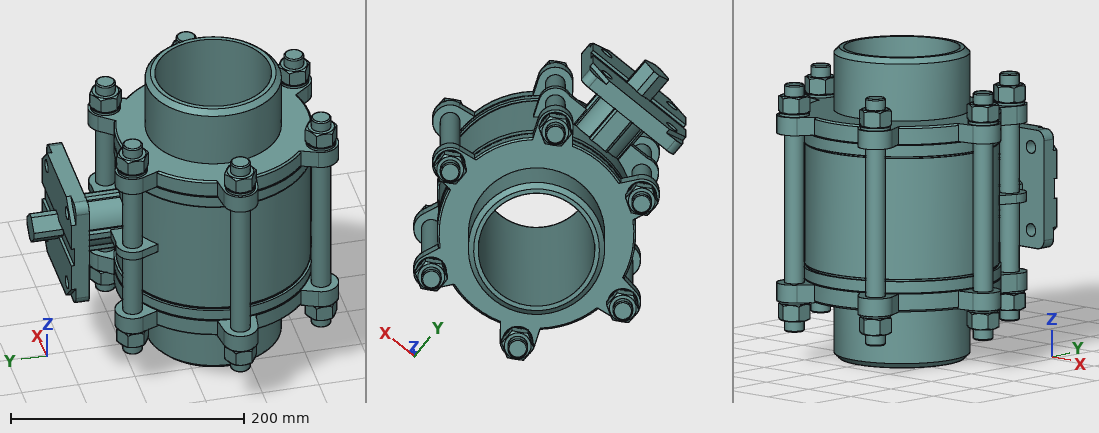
import cadquery as cq
import math

TOTAL_HEIGHT = 270.0
PIPE_DIA = 117.0
BORE_DIA = 100.0
PIPE_END_CHAMFER = 4.5

BODY_DIA = 167.0
FLANGE_DIA = 170.0
FLANGE_TOP_Z = 80.7
FLANGE_THICKNESS = 15.7
FLANGE_CHAMFER = 1.5
RING_BOTTOM_Z = 54.3
GROOVE_WIDTH = 1.5
RING_JOINT_WIDTH = 0.8
GROOVE_DEPTH = 0.8

STUD_COUNT = 6
BOLT_CIRCLE_RADIUS = 96.0
LUG_DIA = 30.2
WEB_LUG_DIA = 29.0
LUG_FLARE_DEG = 8.0
LUG_ROOT_RADIUS = 70.2
STUD_DIA = 17.0
STUD_TIP_Z = 107.5
STUD_CHAMFER = 1.0
WASHER_DIA = 26.0
WASHER_THICKNESS = 2.2
NUT_ACROSS_FLATS = 24.3
NUT_TOP_Z = 97.7
NUT_FACE_DIA = 23.0
NUT_CHAMFER_ANGLE_DEG = 30.0

WEB_THICKNESS = 7.8
WEB_EDGE_Y = 97.0

PLATE_SIZE = 103.1
PLATE_INNER_Y = 122.3
PLATE_OUTER_Y = 138.2
PLATE_CORNER_RADIUS = 8.0
CORNER_CUT_LENGTH = 18.0
CORNER_CUT_DEPTH = 4.0
SLOT_WIDTH = 17.3
SLOT_DEPTH = 2.7
MOUNT_HOLE_DIA = 11.0
MOUNT_HOLE_SPACING = 72.4
NECK_DIA = 45.5
NECK_EMBED = 10.8
RIB_WIDTH = 9.7
RIB_RADIUS = 26.0
RIB_CHAMFER = 2.2
LOWER_RIB_WIDTH = 19.5
LOWER_RIB_RADIUS = 27.5
STEM_END_Y = 161.5
STEM_ACROSS_FLATS = 22.5
STEM_TRIMMED_WIDTH = 25.6

NECK_ROOT_Y = BODY_DIA / 2 - NECK_EMBED
stud_angles = [360 / STUD_COUNT * i for i in range(STUD_COUNT)]
web_angles = stud_angles[1:3]


def disc(diameter, z_low, z_high):
    return cq.Workplane("XY").workplane(offset=z_low).circle(diameter / 2).extrude(z_high - z_low)


def along_y(y_start):
    """Sketch plane facing +Y at y_start; local x runs along -X, local y along Z."""
    return cq.Workplane("XZ", origin=(0, y_start, 0)).transformed(rotate=(0, 180, 0))


def at_stud(shape, angle):
    """Move a shape from the Z axis to a bolt position without turning it."""
    turn = math.radians(angle)
    return shape.translate((BOLT_CIRCLE_RADIUS * math.cos(turn), BOLT_CIRCLE_RADIUS * math.sin(turn), 0))


def make_lug(angle, diameter, z_low, thickness):
    """Lug with a round tip whose flanks flare out towards the valve axis."""
    flare = math.radians(LUG_FLARE_DEG)
    tip_radius = diameter / 2
    tangent_x = BOLT_CIRCLE_RADIUS + tip_radius * math.sin(flare)
    tangent_y = tip_radius * math.cos(flare)
    root_y = tangent_y + (tangent_x - LUG_ROOT_RADIUS) * math.tan(flare)
    return (
        cq.Workplane("XY")
        .workplane(offset=z_low)
        .moveTo(LUG_ROOT_RADIUS, -root_y)
        .lineTo(tangent_x, -tangent_y)
        .threePointArc((BOLT_CIRCLE_RADIUS + tip_radius, 0), (tangent_x, tangent_y))
        .lineTo(LUG_ROOT_RADIUS, root_y)
        .close()
        .extrude(thickness)
        .rotate((0, 0, 0), (0, 0, 1), angle)
    )


def make_upper_flange():
    """Lugged flange over a seating ring, with a narrow joint groove between them."""
    bottom_z = FLANGE_TOP_Z - FLANGE_THICKNESS
    flange = disc(FLANGE_DIA, bottom_z, FLANGE_TOP_Z).faces(">Z").edges().chamfer(FLANGE_CHAMFER)
    ring_top = bottom_z - RING_JOINT_WIDTH
    flange = flange.union(disc(FLANGE_DIA, RING_BOTTOM_Z, ring_top))
    flange = flange.union(disc(FLANGE_DIA - 2 * GROOVE_DEPTH, RING_BOTTOM_Z, bottom_z))
    for angle in stud_angles:
        flange = flange.union(make_lug(angle, LUG_DIA, bottom_z, FLANGE_THICKNESS))
    return flange


def make_upper_nut():
    """Washer and hexagon nut, flats facing +X and -X, with conically chamfered corners."""
    washer_top = FLANGE_TOP_Z + WASHER_THICKNESS
    height = NUT_TOP_Z - washer_top
    corner_radius = NUT_ACROSS_FLATS / 2 / math.cos(math.radians(30))
    face_radius = NUT_FACE_DIA / 2
    drop = (corner_radius - face_radius) * math.tan(math.radians(NUT_CHAMFER_ANGLE_DEG))
    hexagon = (
        cq.Workplane("XY")
        .workplane(offset=washer_top)
        .polygon(6, 2 * corner_radius)
        .extrude(height)
        .rotate((0, 0, 0), (0, 0, 1), 30)
    )
    envelope = (
        cq.Workplane("XZ")
        .moveTo(0, washer_top)
        .lineTo(face_radius, washer_top)
        .lineTo(corner_radius, washer_top + drop)
        .lineTo(corner_radius, NUT_TOP_Z - drop)
        .lineTo(face_radius, NUT_TOP_Z)
        .lineTo(0, NUT_TOP_Z)
        .close()
        .revolve(360, (0, 0, 0), (0, 1, 0))
    )
    return hexagon.intersect(envelope).union(disc(WASHER_DIA, FLANGE_TOP_Z, washer_top))


def make_stud():
    """Stud on the Z axis with a washer and nut at each end."""
    stud = disc(STUD_DIA, -STUD_TIP_Z, STUD_TIP_Z).faces("<Z or >Z").edges().chamfer(STUD_CHAMFER)
    nut = make_upper_nut()
    return stud.union(nut).union(nut.mirror("XY"))


def make_body():
    """Pipe, sleeve and both flanges; thin grooves part the sleeve from the flange rings."""
    pipe = disc(PIPE_DIA, -TOTAL_HEIGHT / 2, TOTAL_HEIGHT / 2)
    pipe = pipe.faces("<Z or >Z").edges().chamfer(PIPE_END_CHAMFER)
    body = pipe.union(disc(BODY_DIA - 2 * GROOVE_DEPTH, -RING_BOTTOM_Z, RING_BOTTOM_Z))
    sleeve_top = RING_BOTTOM_Z - GROOVE_WIDTH
    flange = make_upper_flange()
    return body.union(disc(BODY_DIA, -sleeve_top, sleeve_top)).union(flange).union(flange.mirror("XY"))


def make_web():
    stud_x = BOLT_CIRCLE_RADIUS * math.cos(math.radians(web_angles[0]))
    depth = WEB_EDGE_Y - NECK_ROOT_Y
    web = cq.Workplane("XY").box(2 * stud_x, depth, WEB_THICKNESS)
    web = web.translate((0, NECK_ROOT_Y + depth / 2, 0))
    for angle in web_angles:
        web = web.union(make_lug(angle, WEB_LUG_DIA, -WEB_THICKNESS / 2, WEB_THICKNESS))
    return web


def make_rib(angle, width, radius):
    """Neck rib reaching out from the Y axis; angle 0 points to +Z."""
    length = PLATE_INNER_Y - NECK_ROOT_Y
    rib = cq.Workplane("XY").box(width, length, radius).translate((0, NECK_ROOT_Y + length / 2, radius / 2))
    return rib.faces(">Z").edges("|Y").chamfer(RIB_CHAMFER).rotate((0, 0, 0), (0, 1, 0), angle)


def make_neck():
    neck = along_y(NECK_ROOT_Y).circle(NECK_DIA / 2).extrude(PLATE_INNER_Y - NECK_ROOT_Y)
    for angle in (-90, 0, 90):
        neck = neck.union(make_rib(angle, RIB_WIDTH, RIB_RADIUS))
    return neck.union(make_rib(180, LOWER_RIB_WIDTH, LOWER_RIB_RADIUS))


def make_plate():
    thickness = PLATE_OUTER_Y - PLATE_INNER_Y
    plate = along_y(PLATE_INNER_Y).rect(PLATE_SIZE, PLATE_SIZE).extrude(thickness)
    plate = plate.edges("|Y").fillet(PLATE_CORNER_RADIUS)

    half = PLATE_SIZE / 2
    corner = [(half, half - CORNER_CUT_LENGTH), (half, half), (half - CORNER_CUT_LENGTH, half)]
    for x_sign in (-1, 1):
        for z_sign in (-1, 1):
            points = [(x_sign * x, z_sign * z) for x, z in corner]
            cut = along_y(PLATE_OUTER_Y - CORNER_CUT_DEPTH).polyline(points).close().extrude(CORNER_CUT_DEPTH)
            plate = plate.cut(cut)

    slot = along_y(PLATE_OUTER_Y - SLOT_DEPTH).rect(PLATE_SIZE, SLOT_WIDTH).extrude(SLOT_DEPTH)
    holes = (
        along_y(PLATE_INNER_Y)
        .rect(MOUNT_HOLE_SPACING, MOUNT_HOLE_SPACING, forConstruction=True)
        .vertices()
        .circle(MOUNT_HOLE_DIA / 2)
        .extrude(thickness)
    )
    return plate.cut(slot).cut(holes)


def make_stem():
    """Square drive turned 45 degrees, its corners trimmed flat."""
    length = STEM_END_Y - PLATE_INNER_Y
    square = along_y(PLATE_INNER_Y).rect(STEM_ACROSS_FLATS, STEM_ACROSS_FLATS).extrude(length)
    square = square.rotate((0, 0, 0), (0, 1, 0), 45)
    trim = along_y(PLATE_INNER_Y).rect(STEM_TRIMMED_WIDTH, STEM_TRIMMED_WIDTH).extrude(length)
    return square.intersect(trim)


result = make_body().union(make_web()).union(make_neck()).union(make_plate()).union(make_stem())
stud = make_stud()
for angle in stud_angles:
    result = result.union(at_stud(stud, angle))
result = result.cut(disc(BORE_DIA, -TOTAL_HEIGHT / 2, TOTAL_HEIGHT / 2))